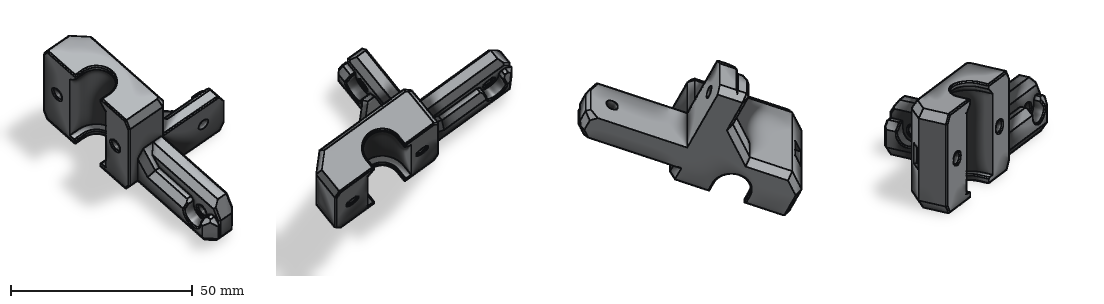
import cadquery as cq
import math

HEIGHT = 30.0
TOTAL_X = 65.85
TOTAL_Y = 34.8
ARM_HEIGHT = HEIGHT / 2
HOLE_TO_END = HEIGHT / 4
SIDE_REACH = HEIGHT
REAR_REACH = 3 * HEIGHT / 4
BLOCK_WIDTH = TOTAL_X - SIDE_REACH
BLOCK_DEPTH = 13.9
SIDE_ARM_FRONT = 3.15
SIDE_ARM_BACK = TOTAL_Y - REAR_REACH
REAR_ARM_LEFT = 26.8
SIDE_THICKNESS = SIDE_ARM_BACK - SIDE_ARM_FRONT
REAR_THICKNESS = BLOCK_WIDTH - REAR_ARM_LEFT
ROOT = 2.65

BEVEL_HEIGHT = 2.65
BEVEL_ANGLE = 30.0
LEAN = math.tan(math.radians(BEVEL_ANGLE))
BEVEL_RUN = BEVEL_HEIGHT * LEAN
EDGE = 0.4

SLANT_LEG = 5.0
REAR_CORNER = 1.5
BORE_X = 18.65
BORE_Y = 3.2
SEAT_DIAMETER = 15.0
ROD_DIAMETER = 10.55
SEAT_BOTTOM = 2.0
SEAT_TOP = 26.4

HOLE_DIAMETER = 3.5
SCREW_SPACING = 24.15
SCREW_DEPTH = 12.9
SCREW_TIP = 0.45
NUT_FRONT = 9.3
NUT_THICKNESS = 2.45
NUT_HEIGHT = 5.7
NUT_RIGHT = 8.55
NUT_LEAD_IN = 0.6

FLANGE_HEIGHT = HEIGHT / 3
FLANGE_DEPTH = 3.55
STEP_CHAMFER = 2.05
SLOPE_LOW = FLANGE_HEIGHT - STEP_CHAMFER
WEB_END_CHAMFER = 0.5
HEAD_DIAMETER = 6.5
ARM_HOLE_Z = ARM_HEIGHT / 2

SIDE_HOLE = SIDE_REACH - HOLE_TO_END
SIDE_END_RUN = 3.0
SIDE_FRONT_CORNER = 3.0
SIDE_BACK_CORNER = 1.05
SIDE_FLANGE_DROP = 2.05
SIDE_FLARE = 1.0
RAMP_START = 5.0

REAR_HOLE = REAR_REACH - HOLE_TO_END
REAR_END_RUN = 2.05
REAR_CORNER_CUT = 1.0
REAR_FLARE = STEP_CHAMFER
GUSSET_CHAMFER = 1.6
GUSSET_LEG = 10.75
WEB_GUSSET_START = 5.65


def prism(points, z0, z1):
    """Upright prism on a plan outline."""
    return cq.Workplane("XY").workplane(offset=z0).polyline(points).close().extrude(z1 - z0)


def block_between(low, high):
    """Box between two opposite corners."""
    size = [b - a for a, b in zip(low, high)]
    return cq.Workplane("XY").box(*size, centered=False).translate(low)


def with_bevelled_foot(points, top):
    """Upright prism whose bottom rim is bevelled inwards all round."""
    foot = (
        cq.Workplane("XY", origin=(0, 0, BEVEL_HEIGHT)).polyline(points).close()
        .extrude(-BEVEL_HEIGHT, taper=BEVEL_ANGLE)
    )
    return foot.union(prism(points, BEVEL_HEIGHT, top))


def bearing_block():
    front = -2 * BEVEL_RUN
    outline = [
        (0, front),
        (BLOCK_WIDTH, front),
        (BLOCK_WIDTH, BLOCK_DEPTH - REAR_CORNER),
        (BLOCK_WIDTH - REAR_CORNER, BLOCK_DEPTH),
        (SLANT_LEG, BLOCK_DEPTH),
        (0, BLOCK_DEPTH - SLANT_LEG),
    ]
    rim = HEIGHT - BEVEL_HEIGHT
    cap = (
        cq.Workplane("XY", origin=(0, 0, rim)).polyline(outline).close()
        .extrude(BEVEL_HEIGHT, taper=BEVEL_ANGLE)
    )
    body = with_bevelled_foot(outline, rim).union(cap)
    body = body.intersect(block_between((0, 0, 0), (BLOCK_WIDTH, BLOCK_DEPTH, HEIGHT)))
    return body.faces("<Y").edges().chamfer(EDGE)


def open_channel(sections):
    """U-shaped channel open to the front; sections are (z, radius) pairs from the bottom up."""
    outline = [(0, sections[0][0])] + [(r, z) for z, r in sections] + [(0, sections[-1][0])]
    turned = cq.Workplane("XZ").polyline(outline).close().revolve(360, (0, 0), (0, 1))
    full = outline + [(-r, z) for z, r in reversed(sections)]
    mouth = cq.Workplane("XZ").polyline(full).close().extrude(BORE_Y)
    return turned.union(mouth).translate((BORE_X, BORE_Y, 0))


def bearing_bore():
    rod = ROD_DIAMETER / 2
    seat = SEAT_DIAMETER / 2
    return open_channel([
        (0, rod + EDGE),
        (EDGE, rod),
        (SEAT_BOTTOM - EDGE, rod),
        (SEAT_BOTTOM, rod + EDGE),
        (SEAT_BOTTOM, seat),
        (SEAT_TOP, seat),
        (SEAT_TOP + seat - rod, rod),
        (HEIGHT - EDGE, rod),
        (HEIGHT, rod + EDGE),
    ])


def clamp_screw_hole(x):
    radius = HOLE_DIAMETER / 2
    profile = [
        (0, 0),
        (radius + EDGE, 0),
        (radius, EDGE),
        (radius, SCREW_DEPTH - SCREW_TIP),
        (radius - SCREW_TIP, SCREW_DEPTH),
        (0, SCREW_DEPTH),
    ]
    hole = cq.Workplane("XY").polyline(profile).close().revolve(360, (0, 0), (0, 1))
    return hole.translate((x, 0, HEIGHT / 2))


def nut_slot():
    """Slot from the slanted corner to the left clamp screw, widened to the back and bottom."""
    back = NUT_FRONT + NUT_THICKNESS
    bottom = (HEIGHT - NUT_HEIGHT) / 2
    top = bottom + NUT_HEIGHT
    slot = block_between((0, NUT_FRONT, bottom), (NUT_RIGHT, back, top))
    mouth_back = back + NUT_LEAD_IN
    mouth_x = mouth_back - (BLOCK_DEPTH - SLANT_LEG)
    taper_leg = mouth_x + mouth_back
    lead_in = block_between((0, NUT_FRONT, bottom - EDGE), (mouth_x + NUT_LEAD_IN, mouth_back, top))
    lead_in = lead_in.intersect(prism([(0, 0), (taper_leg, 0), (0, taper_leg)], 0, HEIGHT))
    return slot.union(lead_in)



def along_arm(profile, reach):
    """Extrude a (y, z) profile from the root to the end of an arm."""
    return cq.Workplane("YZ", origin=(-ROOT, 0, 0)).polyline(profile).close().extrude(reach + ROOT)


def web(reach, depth, end_run, break_back):
    """Tall rear part of an arm; break_back also breaks the back edge of its sloping end."""
    side = [
        (-ROOT, 0),
        (reach, 0),
        (reach, ARM_HEIGHT - end_run / LEAN),
        (reach - end_run, ARM_HEIGHT),
        (-ROOT, ARM_HEIGHT),
    ]
    body = cq.Workplane("XZ").polyline(side).close().extrude(-depth)
    body = body.intersect(block_between((-ROOT, FLANGE_DEPTH, 0), (reach, depth, ARM_HEIGHT)))
    end = cq.selectors.BoxSelector((reach - end_run, 0, EDGE), (reach + EDGE, depth, ARM_HEIGHT - EDGE))
    body = body.faces("<Y").edges(end).chamfer(WEB_END_CHAMFER)
    if break_back:
        body = body.faces(">Y").edges(">(1, 0, 1)").chamfer(EDGE)
    section = [
        (FLANGE_DEPTH, 0),
        (depth, 0),
        (depth, ARM_HEIGHT - EDGE),
        (depth - EDGE, ARM_HEIGHT),
        (FLANGE_DEPTH + STEP_CHAMFER, ARM_HEIGHT),
        (FLANGE_DEPTH, ARM_HEIGHT - STEP_CHAMFER),
    ]
    return body.intersect(along_arm(section, reach))


def head_pocket(hole_x):
    """Screw head pocket, open at the top and front of the flange."""
    radius = HEAD_DIAMETER / 2
    pocket = (
        cq.Workplane("XZ")
        .moveTo(-radius, ARM_HEIGHT)
        .lineTo(-radius, ARM_HOLE_Z)
        .threePointArc((0, ARM_HOLE_Z - radius), (radius, ARM_HOLE_Z))
        .lineTo(radius, ARM_HEIGHT)
        .close()
        .extrude(-FLANGE_DEPTH)
    )
    return pocket.translate((hole_x, 0, 0))


def pocket_flare(hole_x, side, size):
    """45 degree flare at the top of the head pocket; side is -1 towards the block, 1 towards the end."""
    wall = hole_x + side * HEAD_DIAMETER / 2
    outline = [
        (wall, FLANGE_HEIGHT - size),
        (wall + side * size, FLANGE_HEIGHT),
        (hole_x, FLANGE_HEIGHT),
        (hole_x, FLANGE_HEIGHT - size),
    ]
    return cq.Workplane("XZ").polyline(outline).close().extrude(-FLANGE_DEPTH)


def flange(reach, hole_x):
    """Low front part of an arm with its screw head pocket."""
    section = [
        (0, 0),
        (FLANGE_DEPTH, 0),
        (FLANGE_DEPTH, FLANGE_HEIGHT),
        (STEP_CHAMFER, FLANGE_HEIGHT),
        (0, SLOPE_LOW),
    ]
    body = along_arm(section, reach).cut(head_pocket(hole_x))
    half = HEAD_DIAMETER / 2 + EDGE / 2
    broken = body
    for y0, y1, z0, z1 in [
        (-EDGE, EDGE / 2, 0, SLOPE_LOW),
        (EDGE, STEP_CHAMFER - EDGE, SLOPE_LOW, FLANGE_HEIGHT),
        (STEP_CHAMFER, FLANGE_DEPTH, FLANGE_HEIGHT - EDGE, FLANGE_HEIGHT + EDGE),
    ]:
        rim = cq.selectors.BoxSelector((hole_x - half, y0, z0), (hole_x + half, y1, z1))
        broken = broken.intersect(body.edges(rim).chamfer(EDGE))
    return broken


def arm_screw_hole(hole_x, depth):
    radius = HOLE_DIAMETER / 2
    profile = [
        (0, FLANGE_DEPTH),
        (radius + EDGE, FLANGE_DEPTH),
        (radius, FLANGE_DEPTH + EDGE),
        (radius, depth),
        (0, depth),
    ]
    hole = cq.Workplane("XY").polyline(profile).close().revolve(360, (0, 0), (0, 1))
    return hole.translate((hole_x, 0, ARM_HOLE_Z))


def side_flange():
    body = flange(SIDE_REACH, SIDE_HOLE)
    for side in (-1, 1):
        body = body.cut(pocket_flare(SIDE_HOLE, side, SIDE_FLARE))
    return body.edges(">X and >Z").chamfer(SIDE_FLANGE_DROP)


def side_ramp():
    """45 degree ramp rising from the flange top to the block."""
    foot = RAMP_START + FLANGE_HEIGHT
    ramp = (
        cq.Workplane("XZ").polyline([(-ROOT, 0), (foot, 0), (-ROOT, foot + ROOT)]).close()
        .extrude(-FLANGE_DEPTH - STEP_CHAMFER)
    )
    return ramp.faces("<Y").edges(">(1, 0, 1)").chamfer(STEP_CHAMFER)


def side_arm():
    start = -ROOT - BEVEL_RUN
    back = SIDE_THICKNESS + BEVEL_RUN
    outline = [
        (start, 0),
        (SIDE_REACH - SIDE_FRONT_CORNER, 0),
        (SIDE_REACH, SIDE_FRONT_CORNER),
        (SIDE_REACH, SIDE_THICKNESS - SIDE_BACK_CORNER),
        (SIDE_REACH - SIDE_BACK_CORNER - BEVEL_RUN, back),
        (start, back),
    ]
    body = web(SIDE_REACH, SIDE_THICKNESS, SIDE_END_RUN, True).union(side_flange()).union(side_ramp())
    body = body.intersect(with_bevelled_foot(outline, ARM_HEIGHT))
    body = body.cut(arm_screw_hole(SIDE_HOLE, SIDE_THICKNESS))
    return body.translate((BLOCK_WIDTH, SIDE_ARM_FRONT, 0))


def rear_flange():
    body = flange(REAR_REACH, REAR_HOLE).cut(pocket_flare(REAR_HOLE, -1, REAR_FLARE))
    top_end = cq.selectors.BoxSelector(
        (0, 0, SLOPE_LOW + EDGE), (REAR_REACH + EDGE, FLANGE_DEPTH - EDGE, FLANGE_HEIGHT + EDGE)
    )
    return body.faces(">X").edges(top_end).chamfer(EDGE)


def gusset(start, height, chamfer):
    """45 degree gusset whose face crosses Y = 0 at X = start."""
    outline = [(0, -start), (start + REAR_THICKNESS, REAR_THICKNESS), (0, REAR_THICKNESS)]
    return prism(outline, 0, height).faces(">Z").edges(">(1, -1, 0)").chamfer(chamfer)


def rear_arm():
    """Arm along +Y: built along +X like the side arm, then mirrored across the X = Y plane."""
    lower = gusset(GUSSET_LEG, FLANGE_HEIGHT, GUSSET_CHAMFER)
    lower = lower.cut(head_pocket(REAR_HOLE)).cut(pocket_flare(REAR_HOLE, -1, REAR_FLARE))
    upper = gusset(WEB_GUSSET_START - FLANGE_DEPTH, ARM_HEIGHT, STEP_CHAMFER)
    upper = upper.edges(">Y and >Z").chamfer(EDGE)

    start = -BEVEL_RUN
    back = REAR_THICKNESS + BEVEL_RUN
    arm_outline = [
        (start, 0),
        (REAR_REACH - REAR_CORNER_CUT, 0),
        (REAR_REACH, REAR_CORNER_CUT),
        (REAR_REACH, back),
        (start, back),
    ]
    gusset_outline = [(start, start - GUSSET_LEG), (GUSSET_LEG + back, back), (start, back)]
    envelope = with_bevelled_foot(arm_outline, ARM_HEIGHT)
    envelope = envelope.union(with_bevelled_foot(gusset_outline, ARM_HEIGHT))

    body = web(REAR_REACH, REAR_THICKNESS, REAR_END_RUN, False).union(rear_flange())
    body = body.union(lower).union(upper)
    body = body.intersect(envelope)
    body = body.cut(arm_screw_hole(REAR_HOLE, REAR_THICKNESS))
    return body.mirror((1, -1, 0)).translate((REAR_ARM_LEFT, SIDE_ARM_BACK, 0))


result = bearing_block().union(side_arm()).union(rear_arm())
result = result.cut(bearing_bore()).cut(nut_slot())
for side in (-1, 1):
    result = result.cut(clamp_screw_hole((BLOCK_WIDTH + side * SCREW_SPACING) / 2))